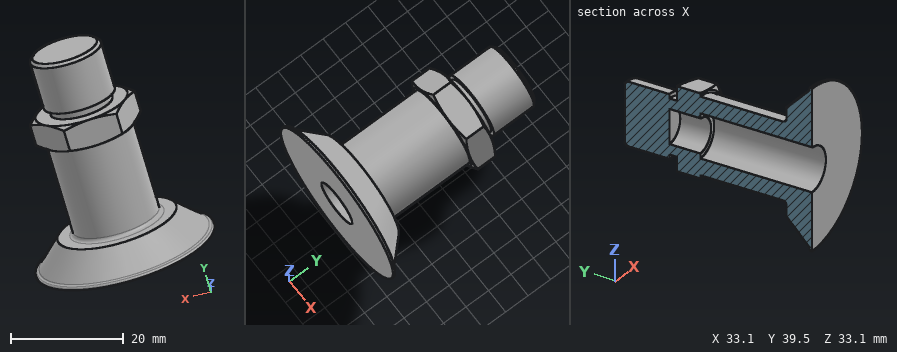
import cadquery as cq
import math


total_length = 39.5
thread_length = 9.5
neck_length = 1.5
hex_length = 5.0
cup_height = 5.5
thread_start = total_length - thread_length
neck_start = thread_start - neck_length
hex_start = neck_start - hex_length

thread_radius = 13.16 / 2
thread_chamfer = 0.6
neck_radius = 11.43 / 2
sleeve_radius = 16.0 / 2
sleeve_fillet = 0.7

hex_sides = 6
hex_across_flats = 17.0
hex_turn = -9.8
hex_bevel_angle = 22.5

lip_radius = 33.07 / 2
lip_edge_radius = 0.35
lip_edge_height = 0.25
lip_thickness = lip_edge_height + lip_edge_radius
cup_top_radius = 11.0
cup_wall_angle = 45.0

mouth_diameter = 9.0
mouth_depth = hex_start
bore_diameter = 7.0
bore_depth = thread_start


def make_turned_body():
    """Cup, sleeve, neck and spigot as one revolved profile (radius, Y)."""
    wall_angle = math.radians(cup_wall_angle)
    wall_foot_radius = cup_top_radius + (cup_height - lip_thickness) / math.tan(wall_angle)
    lip_edge_centre = lip_radius - lip_edge_radius
    face_radius = lip_edge_centre + math.sqrt(lip_edge_radius**2 - lip_edge_height**2)
    blend_length = lip_edge_centre - wall_foot_radius
    blend_end_radius = wall_foot_radius - blend_length * math.cos(wall_angle)
    blend_end_height = lip_thickness + blend_length * math.sin(wall_angle)
    fillet_reach = sleeve_fillet * (1 - math.sqrt(0.5))
    profile = (
        cq.Workplane("XY")
        .lineTo(face_radius, 0)
        .threePointArc((lip_radius, lip_edge_height), (lip_edge_centre, lip_thickness))
        .tangentArcPoint((blend_end_radius, blend_end_height), relative=False)
        .lineTo(cup_top_radius, cup_height)
        .lineTo(sleeve_radius + sleeve_fillet, cup_height)
        .threePointArc(
            (sleeve_radius + fillet_reach, cup_height + fillet_reach),
            (sleeve_radius, cup_height + sleeve_fillet),
        )
        .lineTo(sleeve_radius, hex_start)
        .lineTo(neck_radius, hex_start)
        .lineTo(neck_radius, thread_start)
        .lineTo(thread_radius, thread_start)
        .lineTo(thread_radius, total_length - thread_chamfer)
        .lineTo(thread_radius - thread_chamfer, total_length)
        .lineTo(0, total_length)
        .close()
    )
    return profile.revolve(360, (0, 0, 0), (0, 1, 0))


def make_hexagon():
    """Hexagonal collar with its corners bevelled by a cone at both ends."""
    flat_radius = hex_across_flats / 2
    corner_radius = flat_radius / math.cos(math.pi / hex_sides)
    bevel_height = (corner_radius - flat_radius) * math.tan(math.radians(hex_bevel_angle))
    prism = (
        cq.Workplane("XZ", origin=(0, hex_start, 0))
        .polygon(hex_sides, 2 * corner_radius)
        .extrude(-hex_length)
        .rotate((0, 0, 0), (0, 1, 0), -hex_turn)
    )
    bevel_envelope = (
        cq.Workplane("XY")
        .moveTo(0, hex_start)
        .lineTo(flat_radius, hex_start)
        .lineTo(corner_radius, hex_start + bevel_height)
        .lineTo(corner_radius, neck_start - bevel_height)
        .lineTo(flat_radius, neck_start)
        .lineTo(0, neck_start)
        .close()
        .revolve(360, (0, 0, 0), (0, 1, 0))
    )
    return prism.intersect(bevel_envelope)


def make_bore(diameter, depth):
    """Cylinder reaching from the cup face into the part."""
    return cq.Workplane("XZ").circle(diameter / 2).extrude(-depth)


result = (
    make_turned_body()
    .union(make_hexagon())
    .cut(make_bore(mouth_diameter, mouth_depth))
    .cut(make_bore(bore_diameter, bore_depth))
)